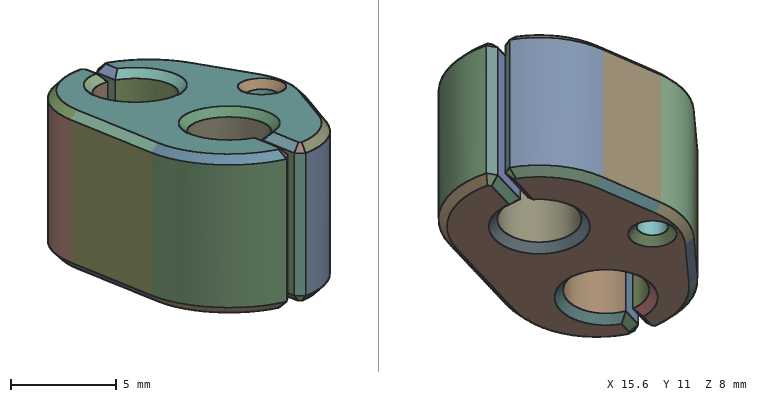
import cadquery as cq
import math

length = 15.57
height = 8.0
chamfer = 0.4
slot_width = 0.4
lobe_radius = 4.8
crown_radius = 4.2
crown_top_y = 6.2

left_bore_x = -4.0
left_bore_diameter = 4.1
right_bore_diameter = 4.0
small_hole_y = 4.5
small_hole_diameter = 1.5

lobe_x = length / 2 - math.sqrt(lobe_radius**2 - chamfer**2)
crown_y = crown_top_y - crown_radius

center_distance = math.hypot(lobe_x, crown_y)
center_line_angle = math.atan2(-crown_y, lobe_x)
normal_angle = center_line_angle + math.acos((crown_radius - lobe_radius) / center_distance)
normal_x = math.cos(normal_angle)
normal_y = math.sin(normal_angle)


def make_body():
    """Extrude the symmetric outline of two lobes and a crown, all tangent."""
    lobe_tangent_x = lobe_x + lobe_radius * normal_x
    lobe_tangent_y = lobe_radius * normal_y
    crown_tangent_x = crown_radius * normal_x
    crown_tangent_y = crown_y + crown_radius * normal_y
    return (
        cq.Workplane("XY")
        .moveTo(-lobe_x, -lobe_radius)
        .lineTo(lobe_x, -lobe_radius)
        .threePointArc((lobe_x + lobe_radius, 0), (lobe_tangent_x, lobe_tangent_y))
        .lineTo(crown_tangent_x, crown_tangent_y)
        .threePointArc((0, crown_top_y), (-crown_tangent_x, crown_tangent_y))
        .lineTo(-lobe_tangent_x, lobe_tangent_y)
        .threePointArc((-lobe_x - lobe_radius, 0), (-lobe_x, -lobe_radius))
        .close()
        .extrude(height)
    )


def cut_hole(body, x, y, diameter):
    hole = cq.Workplane("XY").center(x, y).circle(diameter / 2).extrude(height)
    return body.cut(hole)


def cut_slot(body, bore_x, side):
    """Open a bore to the outside; the slot's lower wall lies on the bore line."""
    outer_x = side * length
    slot = (
        cq.Workplane("XY")
        .center((bore_x + outer_x) / 2, slot_width / 2)
        .rect(abs(outer_x - bore_x), slot_width)
        .extrude(height)
    )
    return body.cut(slot)


def chamfer_slot_mouths(body):
    """Break the vertical edges where the slots meet the outer surface."""
    mouth_x = lobe_x + lobe_radius - 2 * chamfer
    for side in (-1, 1):
        mouth = cq.selectors.BoxSelector(
            (side * mouth_x, -slot_width, 0),
            (side * length, 2 * slot_width, height),
        )
        body = body.edges("|Z").edges(mouth).chamfer(chamfer)
    return body


result = make_body()
result = cut_hole(result, left_bore_x, 0, left_bore_diameter)
result = cut_hole(result, lobe_x, 0, right_bore_diameter)
result = cut_hole(result, 0, small_hole_y, small_hole_diameter)
result = cut_slot(result, left_bore_x, -1)
result = cut_slot(result, lobe_x, 1)
result = chamfer_slot_mouths(result)

result = result.faces("<Z or >Z").edges().chamfer(chamfer)